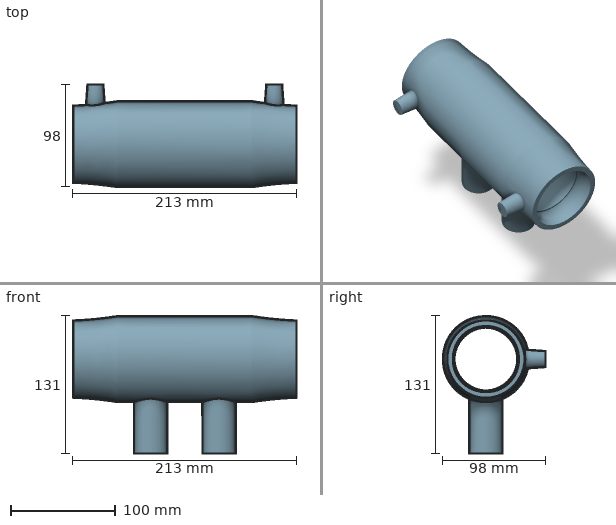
import cadquery as cq

length = 213.0
barrel_radius = 82.0 / 2
mouth_radius = 73.7 / 2
end_length = 42.5
end_hollow = 0.6

bore_radius = 59.9 / 2
socket_radius = 63.0 / 2
socket_depth = 21.3

leg_radius = 32.0 / 2
leg_spacing = 65.2
leg_bottom = barrel_radius - 131.0

terminal_tip_radius = 15.3 / 2
terminal_base_radius = 18.3 / 2
terminal_taper_length = 20.2
terminal_tip = 98.0 - barrel_radius
terminal_inset = 21.3


def make_sleeve():
    middle_x = end_length / 2
    middle_radius = (mouth_radius + barrel_radius) / 2 - end_hollow
    return (
        cq.Workplane("XY")
        .moveTo(0, 0)
        .lineTo(0, mouth_radius)
        .threePointArc((middle_x, middle_radius), (end_length, barrel_radius))
        .lineTo(length - end_length, barrel_radius)
        .threePointArc((length - middle_x, middle_radius), (length, mouth_radius))
        .lineTo(length, 0)
        .close()
        .revolve(360, (0, 0, 0), (1, 0, 0))
    )


def make_bore():
    bore = cq.Workplane("YZ").circle(bore_radius).extrude(length)
    for start in (0, length - socket_depth):
        socket = cq.Workplane("YZ", origin=(start, 0, 0)).circle(socket_radius).extrude(socket_depth)
        bore = bore.union(socket)
    return bore


def make_leg(x):
    return cq.Workplane("XY", origin=(x, 0, leg_bottom)).circle(leg_radius).extrude(-leg_bottom)


def make_terminal(x):
    base = terminal_tip - terminal_taper_length
    cone = cq.Solid.makeCone(
        terminal_base_radius,
        terminal_tip_radius,
        terminal_taper_length,
        cq.Vector(x, base, 0),
        cq.Vector(0, 1, 0),
    )
    return cq.Workplane(obj=cone)


result = make_sleeve()
for side in (-1, 1):
    result = result.union(make_leg(length / 2 + side * leg_spacing / 2))
for terminal_x in (terminal_inset, length - terminal_inset):
    result = result.union(make_terminal(terminal_x))
result = result.cut(make_bore())